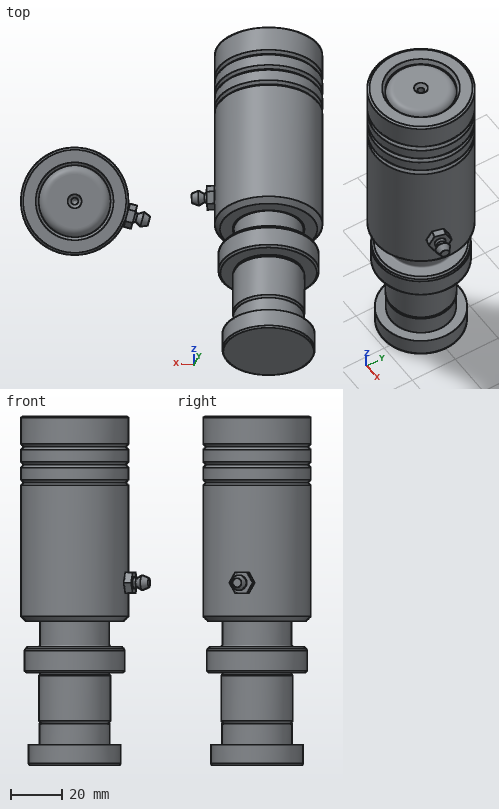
import cadquery as cq
import math

total_height = 136.0
bushing_diameter = 42.0
bushing_length = 80.0
bushing_top_chamfer_width = 1.0
bushing_top_chamfer_height = 0.5
bushing_bottom_chamfer = 2.0
bore_mouth_diameter = 30.3
bore_mouth_depth = 1.6
groove_count = 3
groove_pitch = 7.0
groove_width = 2.3
groove_depth = 1.1
first_groove_from_top = 12.0

shank_diameter = 28.0
pin_neck_diameter = 27.0
shank_top_fillet = 3.4
centre_hole_diameter = 2.7
centre_hole_mouth = 5.5
centre_hole_depth = 5.5
collar_diameter = 39.2
collar_top_z = 46.2
collar_bottom_z = 36.0
collar_slope_width = 0.8
collar_slope_height = 0.8
collar_edge_width = 0.4
collar_edge_height = 0.8
collar_bottom_chamfer = 0.8
collar_root_fillet = 0.7
undercut_height = 0.7
undercut_taper = 0.5
seat_end_chamfer_height = 1.2
seat_end_chamfer_width = 1.0

foot_height = 16.2
foot_neck_diameter = 27.5
foot_flange_diameter = 36.0
foot_flange_height = 8.0
foot_chamfer_height = 0.8
foot_chamfer_width = 0.4

nipple_angle = -15.0
nipple_z = 71.1
hex_across_flats = 8.2
hex_height = 3.0
nipple_shank_radius = 3.0
nipple_shank_length = 5.0
nipple_base_radius = 2.3
nipple_neck_radius = 1.6
nipple_base_length = 1.0
head_radius = 3.0
head_cone_length = 2.3
head_shoulder_radius = 2.0
head_taper_length = 2.3
head_tip_radius = 1.8
head_tip_length = 0.4

bushing_radius = bushing_diameter / 2
shank_radius = shank_diameter / 2
bushing_bottom_z = total_height - bushing_length


def revolve_about_z(outline):
    """Full turn about Z of a closed outline drawn in the XZ plane (radius, height)."""
    return outline.close().revolve(360, (0, 0, 0), (0, 1, 0))


def nipple_plane(distance):
    """Plane facing outward along the nipple axis, at a distance from the bushing axis."""
    angle = math.radians(nipple_angle)
    outward = cq.Vector(math.cos(angle), math.sin(angle), 0)
    origin = outward * distance + cq.Vector(0, 0, nipple_z)
    tangent = (-math.sin(angle), math.cos(angle), 0)
    return cq.Plane(origin=origin.toTuple(), xDir=tangent, normal=outward.toTuple())


def make_nipple_shank():
    start = bushing_radius - nipple_shank_length
    return cq.Workplane(nipple_plane(start)).circle(nipple_shank_radius).extrude(nipple_shank_length)


def make_groove(z):
    """Ring with a V section, used to cut one groove round the bushing."""
    outline = (
        cq.Workplane("XZ")
        .moveTo(bushing_radius, z - groove_width / 2)
        .lineTo(bushing_radius - groove_depth, z)
        .lineTo(bushing_radius, z + groove_width / 2)
    )
    return revolve_about_z(outline)


def make_bushing():
    outline = (
        cq.Workplane("XZ")
        .moveTo(shank_radius, bushing_bottom_z)
        .lineTo(bushing_radius - bushing_bottom_chamfer, bushing_bottom_z)
        .lineTo(bushing_radius, bushing_bottom_z + bushing_bottom_chamfer)
        .lineTo(bushing_radius, total_height - bushing_top_chamfer_height)
        .lineTo(bushing_radius - bushing_top_chamfer_width, total_height)
        .lineTo(bore_mouth_diameter / 2, total_height)
        .lineTo(shank_radius, total_height - bore_mouth_depth)
    )
    bushing = revolve_about_z(outline)
    for index in range(groove_count):
        bushing = bushing.cut(make_groove(total_height - first_groove_from_top - index * groove_pitch))
    return bushing.cut(make_nipple_shank())


def make_centre_hole():
    """Countersunk blind hole in the top of the pin, with a 45 degree mouth and a conical bottom."""
    mouth_depth = (centre_hole_mouth - centre_hole_diameter) / 2
    outline = (
        cq.Workplane("XZ")
        .moveTo(0, total_height)
        .lineTo(centre_hole_mouth / 2, total_height)
        .lineTo(centre_hole_diameter / 2, total_height - mouth_depth)
        .lineTo(centre_hole_diameter / 2, total_height - centre_hole_depth)
        .lineTo(0, total_height - centre_hole_depth - centre_hole_diameter / 2)
    )
    return revolve_about_z(outline)


def make_pin():
    collar_radius = collar_diameter / 2
    neck_radius = pin_neck_diameter / 2
    slope_outer_radius = collar_radius - collar_edge_width
    slope_bottom_z = collar_top_z - collar_slope_height
    undercut_bottom_z = collar_bottom_z - undercut_height
    outline = (
        cq.Workplane("XZ")
        .moveTo(0, foot_height)
        .lineTo(shank_radius - seat_end_chamfer_width, foot_height)
        .lineTo(shank_radius, foot_height + seat_end_chamfer_height)
        .lineTo(shank_radius, undercut_bottom_z - undercut_taper)
        .lineTo(neck_radius, undercut_bottom_z)
        .lineTo(neck_radius, collar_bottom_z)
        .lineTo(collar_radius - collar_bottom_chamfer, collar_bottom_z)
        .lineTo(collar_radius, collar_bottom_z + collar_bottom_chamfer)
        .lineTo(collar_radius, slope_bottom_z - collar_edge_height)
        .lineTo(slope_outer_radius, slope_bottom_z)
        .lineTo(slope_outer_radius - collar_slope_width, collar_top_z)
        .lineTo(neck_radius + collar_root_fillet, collar_top_z)
        .radiusArc((neck_radius, collar_top_z + collar_root_fillet), collar_root_fillet)
        .lineTo(neck_radius, bushing_bottom_z)
        .lineTo(shank_radius, bushing_bottom_z)
        .lineTo(shank_radius, total_height - shank_top_fillet)
        .radiusArc((shank_radius - shank_top_fillet, total_height), -shank_top_fillet)
        .lineTo(0, total_height)
    )
    return revolve_about_z(outline).cut(make_centre_hole())


def make_foot():
    flange_radius = foot_flange_diameter / 2
    step_radius = foot_neck_diameter / 2
    outline = (
        cq.Workplane("XZ")
        .moveTo(0, 0)
        .lineTo(flange_radius - foot_chamfer_width, 0)
        .lineTo(flange_radius, foot_chamfer_height)
        .lineTo(flange_radius, foot_flange_height)
        .lineTo(step_radius, foot_flange_height)
        .lineTo(step_radius, foot_height)
        .lineTo(0, foot_height)
    )
    return revolve_about_z(outline)


def make_grease_nipple():
    hex_across_corners = hex_across_flats / math.cos(math.radians(30))
    hexagon = cq.Workplane(nipple_plane(bushing_radius)).polygon(6, hex_across_corners).extrude(hex_height)

    neck_waist = nipple_base_length
    head_edge = neck_waist + head_cone_length
    head_shoulder = head_edge + head_taper_length
    head_tip = head_shoulder + head_tip_length
    face = nipple_plane(bushing_radius + hex_height)
    side = cq.Plane(origin=face.origin.toTuple(), xDir=face.xDir.toTuple(), normal=(0, 0, -1))
    neck_and_head = (
        cq.Workplane(side)
        .moveTo(0, 0)
        .lineTo(nipple_base_radius, 0)
        .lineTo(nipple_neck_radius, neck_waist)
        .lineTo(head_radius, head_edge)
        .lineTo(head_shoulder_radius, head_shoulder)
        .lineTo(head_tip_radius, head_tip)
        .lineTo(0, head_tip)
        .close()
        .revolve(360, (0, 0, 0), (0, 1, 0))
    )
    return make_nipple_shank().union(hexagon).union(neck_and_head)


bushing = make_bushing()
guide_pin = make_pin()
foot = make_foot()
grease_nipple = make_grease_nipple()

result = cq.Compound.makeCompound([bushing.val(), guide_pin.val(), foot.val(), grease_nipple.val()])